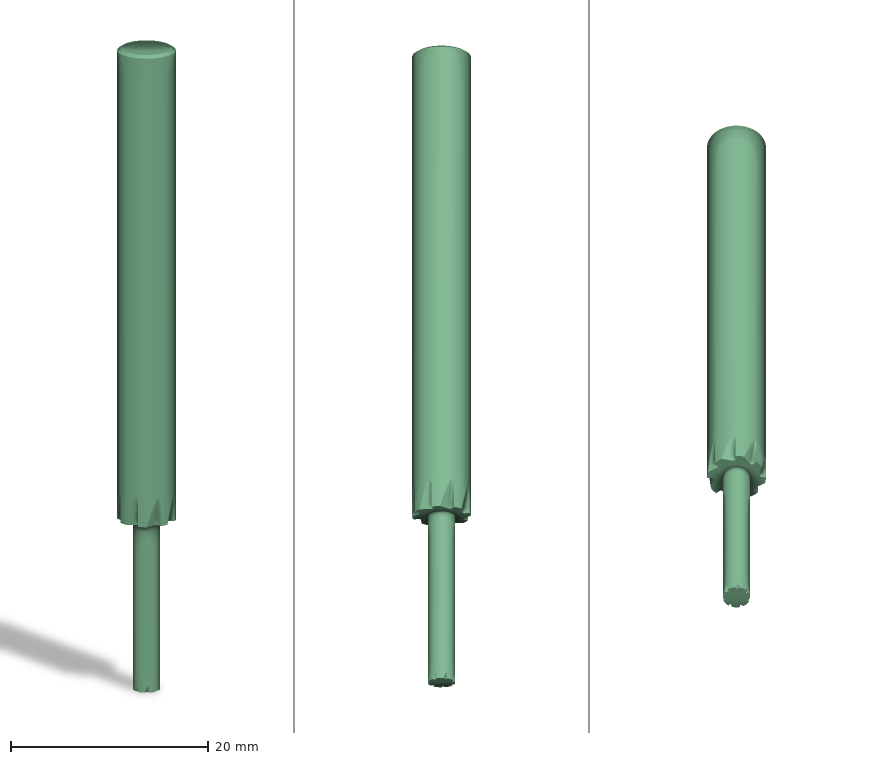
import cadquery as cq
import math

total_length = 67.9
shank_diameter = 6.0
pin_diameter = 2.8
pin_length = 18.0
chamfer_width = 0.4
chamfer_height = 0.3

shank_flutes = 8
shank_flute_height = 3.5
shank_flute_depth = 0.75
shank_floor_angle = 15.0
shank_flute_phase = 0.0
shank_corner_radius = 0.3

pin_flutes = 7
pin_flute_height = 0.9
pin_flute_depth = 0.35
pin_floor_angle = 35.0
pin_flute_phase = 18.0
pin_corner_radius = 0.1


def flute_cutter(radius, height, depth, floor_angle, corner_radius):
    """Wedge on the -Y side: a radial wall at X = 0 and a floor that rises to the surface at height."""
    floor_radius = radius - depth
    floor_rise = radius * math.tan(math.radians(floor_angle))
    outside = 2 * radius
    profile = (
        cq.Workplane("XY")
        .workplane(offset=-height)
        .moveTo(0, -floor_radius)
        .lineTo(-radius, -floor_radius - floor_rise)
        .lineTo(-radius, -outside)
        .lineTo(0, -outside)
        .close()
    )
    corner = cq.selectors.NearestToPointSelector((0, -floor_radius, height / 2))
    wedge = profile.extrude(3 * height).edges("|Z").edges(corner).fillet(corner_radius)
    tilt = math.degrees(math.atan2(depth, height))
    return wedge.rotate((0, -floor_radius, 0), (1, -floor_radius, 0), tilt)


def cut_teeth(body, cutter, base_height, count, phase):
    """Cut equally spaced flutes around Z, starting phase degrees from -Y towards +X."""
    for index in range(count):
        angle = phase + index * 360 / count
        flute = cutter.rotate((0, 0, 0), (0, 0, 1), angle)
        body = body.cut(flute.translate((0, 0, base_height)))
    return body


shank_radius = shank_diameter / 2
pin_radius = pin_diameter / 2

shank = (
    cq.Workplane("XY")
    .workplane(offset=pin_length)
    .circle(shank_radius)
    .extrude(total_length - pin_length)
    .faces(">Z")
    .chamfer(chamfer_height, chamfer_width)
)
shank_cutter = flute_cutter(
    shank_radius, shank_flute_height, shank_flute_depth, shank_floor_angle, shank_corner_radius
)
shank = cut_teeth(shank, shank_cutter, pin_length, shank_flutes, shank_flute_phase)

pin = cq.Workplane("XY").circle(pin_radius).extrude(pin_length)
pin_cutter = flute_cutter(
    pin_radius, pin_flute_height, pin_flute_depth, pin_floor_angle, pin_corner_radius
)
pin = cut_teeth(pin, pin_cutter, 0, pin_flutes, pin_flute_phase)

result = shank.union(pin)